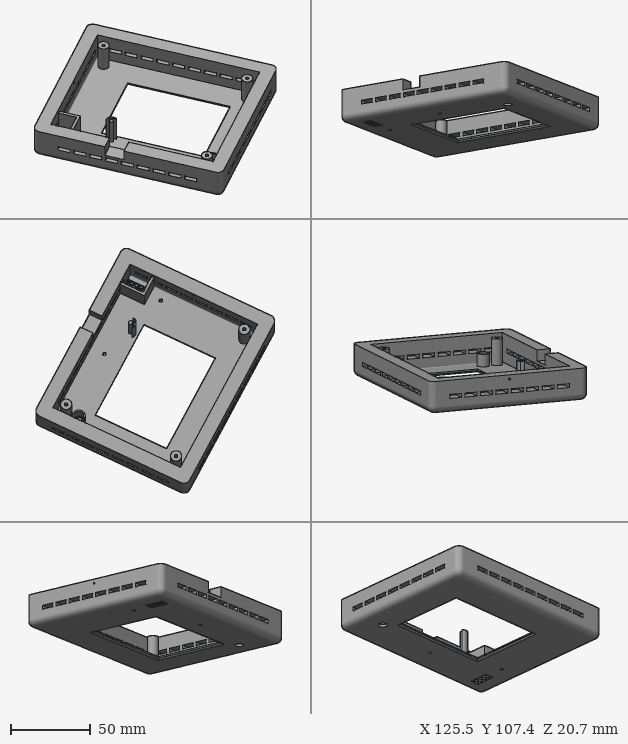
import cadquery as cq


LENGTH = 125.5
WIDTH = 107.4
HEIGHT = 20.7
CORNER_RADIUS = 4.1
BOTTOM_RADIUS = 4.0
WALL = 9.0
FLOOR = 2.0
COVE_RADIUS = 0.5

WINDOW_LEFT = 34.8
WINDOW_FRONT = 31.7
WINDOW_LENGTH = 67.9
WINDOW_WIDTH = 50.0
WINDOW_CHAMFER = FLOOR / 2

NOTCH_LEFT = 47.9
NOTCH_LENGTH = 12.7
NOTCH_DEPTH = 7.2

SLOT_LENGTH = 8.0
SLOT_HEIGHT = 2.5
SLOT_BOTTOM = 9.0
FRONT_SLOTS = 9
SIDE_SLOTS = 8
FRONT_SLOT_SPAN = 92.0
SLOT_PITCH = (FRONT_SLOT_SPAN - SLOT_LENGTH) / (FRONT_SLOTS - 1)

SIDE_HOLE_DIAMETER = 1.0
SIDE_HOLE_Z = 18.0

POST_DIAMETER = 7.0
POST_HOLE_DIAMETER = 2.0
POST_TOP = 19.0
POST_INSET = 6.1
POST_LEFT = WALL + POST_INSET
POST_RIGHT = LENGTH - POST_LEFT
POST_FRONT = WALL + POST_INSET
POST_BACK = WIDTH - POST_FRONT
POST_CENTRES = [(POST_LEFT, POST_BACK), (POST_RIGHT, POST_BACK), (POST_RIGHT, POST_FRONT)]

GUIDE_CENTRE = (110.7, 24.3)
GUIDE_DIAMETER = 8.0
GUIDE_BORE_DIAMETER = 6.0
GUIDE_HOLE_DIAMETER = 5.5
GUIDE_TOP = 10.0

FLOOR_HOLE_DIAMETER = 2.0
FLOOR_HOLE_CENTRES = [(15.5, 33.9), (63.5, 18.5)]

PIN_CENTRE = (43.2, 26.6)
PIN_DIAMETER = 2.5
STOP_OFFSET = 2.4
RIM_THICKNESS = 0.1

BAY_LENGTH = 11.8
BAY_WIDTH = 15.0
BAY_WALL = 1.9
BAY_TOP = 17.5

GRILLE_LENGTH = 5.8
GRILLE_WIDTH = 12.7
GRILLE_CENTRE = (WALL + BAY_LENGTH / 2, 15.5)
BAR_WIDTH = 0.5
BAR_PITCH = 2.4
BAR_ANGLES = (45, -45)
BARS_EACH_SIDE = 3


def box(x, y, z, length, width, height):
    """A box whose lowest corner is at (x, y, z)."""
    return cq.Workplane("XY").box(length, width, height, centered=False).translate((x, y, z))


def cylinder(centre, diameter, bottom, top):
    """An upright cylinder between two heights."""
    disc = cq.Workplane("XY").workplane(offset=bottom).center(*centre).circle(diameter / 2)
    return disc.extrude(top - bottom)


def tube(centre, outer_diameter, inner_diameter, bottom, top):
    """An upright tube between two heights."""
    bore = cylinder(centre, inner_diameter, bottom, top)
    return cylinder(centre, outer_diameter, bottom, top).cut(bore)


def slot_starts(side_length, count):
    """The first edge of each slot in a row centred on a side."""
    first = (side_length - (count - 1) * SLOT_PITCH - SLOT_LENGTH) / 2
    return [first + i * SLOT_PITCH for i in range(count)]


def shell():
    """An open tray, coved where the floor meets the left and right walls."""
    body = box(0, 0, 0, LENGTH, WIDTH, HEIGHT)
    body = body.edges("|Z").fillet(CORNER_RADIUS)
    body = body.faces("<Z").edges().fillet(BOTTOM_RADIUS)
    cavity = box(WALL, WALL, FLOOR, LENGTH - 2 * WALL, WIDTH - 2 * WALL, HEIGHT - FLOOR)
    cavity = cavity.faces("<Z").edges("|Y").fillet(COVE_RADIUS)
    return body.cut(cavity)


def window_cutter():
    """The display window, chamfered around the underside of the floor."""
    opening = box(WINDOW_LEFT, WINDOW_FRONT, 0, WINDOW_LENGTH, WINDOW_WIDTH, FLOOR)
    flare = (
        cq.Workplane("XY")
        .center(WINDOW_LEFT + WINDOW_LENGTH / 2, WINDOW_FRONT + WINDOW_WIDTH / 2)
        .rect(WINDOW_LENGTH + 2 * WINDOW_CHAMFER, WINDOW_WIDTH + 2 * WINDOW_CHAMFER)
        .workplane(offset=WINDOW_CHAMFER)
        .rect(WINDOW_LENGTH, WINDOW_WIDTH)
        .loft(ruled=True)
    )
    return opening.union(flare)


def cut_slots(body):
    """Cut matching rows of slots through opposite walls."""
    for x in slot_starts(LENGTH, FRONT_SLOTS):
        for y in (0, WIDTH - WALL):
            body = body.cut(box(x, y, SLOT_BOTTOM, SLOT_LENGTH, WALL, SLOT_HEIGHT))
    for y in slot_starts(WIDTH, SIDE_SLOTS):
        for x in (0, LENGTH - WALL):
            body = body.cut(box(x, y, SLOT_BOTTOM, WALL, SLOT_LENGTH, SLOT_HEIGHT))
    return body


def side_hole_cutter():
    hole = cq.Workplane("YZ").center(WIDTH / 2, SIDE_HOLE_Z).circle(SIDE_HOLE_DIAMETER / 2)
    return hole.extrude(WALL)


def sensor_bay():
    """Two thin walls that close off a corner of the cavity."""
    height = BAY_TOP - FLOOR
    outside = box(WALL, WALL, FLOOR, BAY_LENGTH + BAY_WALL, BAY_WIDTH + BAY_WALL, height)
    inside = box(WALL, WALL, FLOOR, BAY_LENGTH, BAY_WIDTH, height)
    return outside.cut(inside)


def back_stop():
    """The rear segment of a post, with a thin rim running forward on its left."""
    x, y = PIN_CENTRE
    left = x - POST_DIAMETER / 2
    radius = POST_DIAMETER / 2
    height = POST_TOP - FLOOR
    behind = box(left, y + STOP_OFFSET, FLOOR, POST_DIAMETER, radius, height)
    segment = cylinder(PIN_CENTRE, POST_DIAMETER, FLOOR, POST_TOP).intersect(behind)
    rim_diameter = POST_DIAMETER - 2 * RIM_THICKNESS
    rear_left = box(left, y, FLOOR, radius, radius, height)
    rim = tube(PIN_CENTRE, POST_DIAMETER, rim_diameter, FLOOR, POST_TOP).intersect(rear_left)
    return segment.union(rim)


def grille_opening():
    x, y = GRILLE_CENTRE
    left = x - GRILLE_LENGTH / 2
    front = y - GRILLE_WIDTH / 2
    return box(left, front, 0, GRILLE_LENGTH, GRILLE_WIDTH, FLOOR)


def make_housing():
    body = cut_slots(shell())
    body = body.cut(window_cutter())
    body = body.cut(box(NOTCH_LEFT, 0, HEIGHT - NOTCH_DEPTH, NOTCH_LENGTH, WALL, NOTCH_DEPTH))
    body = body.cut(side_hole_cutter())
    for centre in POST_CENTRES:
        body = body.union(tube(centre, POST_DIAMETER, POST_HOLE_DIAMETER, FLOOR, POST_TOP))
    body = body.union(tube(GUIDE_CENTRE, GUIDE_DIAMETER, GUIDE_BORE_DIAMETER, FLOOR, GUIDE_TOP))
    body = body.cut(cylinder(GUIDE_CENTRE, GUIDE_HOLE_DIAMETER, 0, FLOOR))
    for centre in FLOOR_HOLE_CENTRES:
        body = body.cut(cylinder(centre, FLOOR_HOLE_DIAMETER, 0, FLOOR))
    body = body.union(sensor_bay())
    body = body.union(back_stop())
    body = body.union(cylinder(PIN_CENTRE, PIN_DIAMETER, FLOOR, POST_TOP))
    return body.cut(grille_opening())


def make_grille():
    """A lattice of crossed diagonal bars that fills the opening in the bay floor."""
    bar_length = 2 * (GRILLE_LENGTH + GRILLE_WIDTH)
    bars = cq.Workplane("XY")
    lattice = None
    for angle in BAR_ANGLES:
        for i in range(-BARS_EACH_SIDE, BARS_EACH_SIDE + 1):
            bar = bars.center(0, i * BAR_PITCH).rect(bar_length, BAR_WIDTH).extrude(FLOOR)
            bar = bar.rotate((0, 0, 0), (0, 0, 1), angle)
            lattice = bar if lattice is None else lattice.union(bar)
    return lattice.translate((*GRILLE_CENTRE, 0)).intersect(grille_opening())


housing = make_housing()
grille = make_grille()

result = cq.Compound.makeCompound([housing.val(), grille.val()])